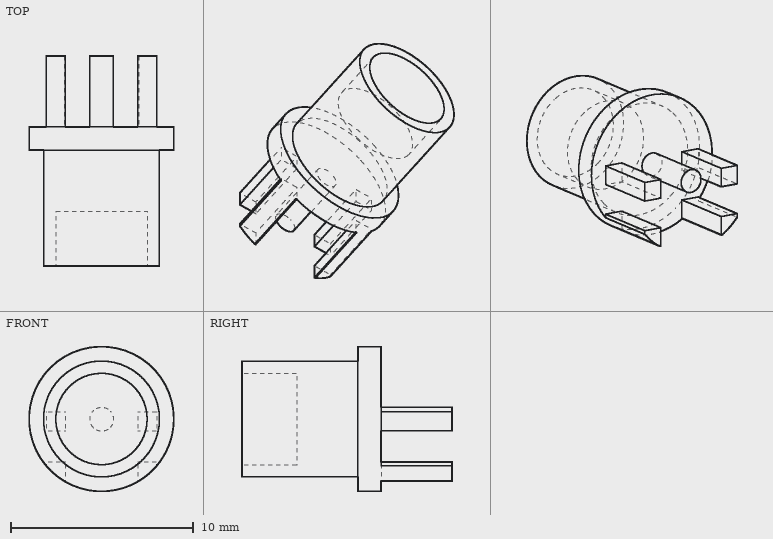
import cadquery as cq

total_length = 11.5
flange_diameter = 7.94
barrel_diameter = 6.35
bore_diameter = 5.0
barrel_length = 6.35
flange_thickness = 1.26
bore_depth = 3.0
pin_diameter = 1.3
leg_size = 1.06
leg_center_x = 2.51
upper_leg_center_z = -0.13
lower_leg_center_z = -2.88

front_y = -total_length / 2
flange_front_y = front_y + barrel_length
flange_back_y = flange_front_y + flange_thickness
pin_length = total_length / 2 - flange_back_y


def cylinder(diameter, start_y, length):
    """Solid cylinder along +Y from start_y."""
    plane = cq.Workplane("XZ", origin=(0, start_y, 0))
    return plane.circle(diameter / 2).extrude(-length)


def legs():
    """Four square legs, trimmed to the flange outline."""
    centers = [
        (side * leg_center_x, z)
        for side in (-1, 1)
        for z in (upper_leg_center_z, lower_leg_center_z)
    ]
    plane = cq.Workplane("XZ", origin=(0, flange_back_y, 0))
    bars = plane.pushPoints(centers).rect(leg_size, leg_size).extrude(-pin_length)
    return bars.intersect(cylinder(flange_diameter, flange_back_y, pin_length))


barrel = cylinder(barrel_diameter, front_y, barrel_length)
flange = cylinder(flange_diameter, flange_front_y, flange_thickness)
center_pin = cylinder(pin_diameter, flange_back_y, pin_length)
bore = cylinder(bore_diameter, front_y, bore_depth)

result = barrel.union(flange).union(center_pin).union(legs()).cut(bore)